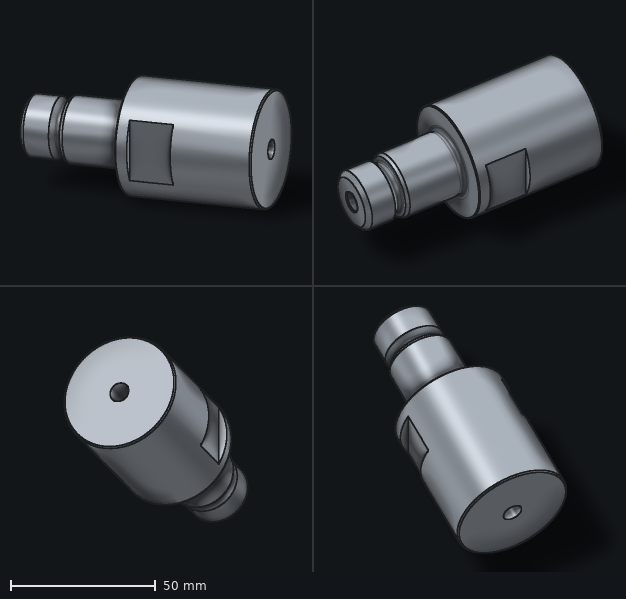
import cadquery as cq
import math

length = 89.0
neck_ramp_start = 11.0
collar_start = 15.0
relief_start = 36.6
shoulder = 39.0
flat_start = 43.4
flat_length = 16.0

tip_radius = 11.1
tip_end_radius = 9.3
neck_radius = 9.3
collar_radius = 12.0
relief_radius = 11.7
relief_outer_radius = 13.7
body_radius = 21.0
bore_radius = 3.5

tip_chamfer_length = 1.7
neck_fillet = 0.5
collar_chamfer_length = 1.3
collar_chamfer_angle = math.radians(30)
relief_ramp_angle = math.radians(15)
relief_fillet = 1.0
relief_face_depth = 0.3
front_chamfer = 0.4
rear_chamfer = 0.5
bore_chamfer = 0.45
flat_distance = 18.0

neck_ramp_end = neck_ramp_start + tip_radius - neck_radius
collar_lip_radius = collar_radius - collar_chamfer_length * math.tan(collar_chamfer_angle)
relief_ramp_end = relief_start + (collar_radius - relief_radius) / math.tan(relief_ramp_angle)
relief_bottom = shoulder + relief_face_depth


def revolve_about_x(points):
    """Revolve a closed outline of (x, radius) points about the X axis."""
    return cq.Workplane("XY").polyline(points).close().revolve(360, (0, 0, 0), (1, 0, 0))


def fillet_corner(body, x, radius, fillet_radius):
    """Round the circular edge of a turned body at the given position and radius."""
    tolerance = 0.01
    edges = [
        edge
        for edge in body.edges("%CIRCLE").vals()
        if abs(edge.Center().x - x) < tolerance and abs(edge.radius() - radius) < tolerance
    ]
    return body.newObject(edges).fillet(fillet_radius)


def turned_body():
    """Stepped shaft: spigot tip, neck groove, collar, corner undercut and large body."""
    body = revolve_about_x([
        (0, 0),
        (0, tip_end_radius),
        (tip_chamfer_length, tip_radius),
        (neck_ramp_start, tip_radius),
        (neck_ramp_end, neck_radius),
        (collar_start, neck_radius),
        (collar_start, collar_lip_radius),
        (collar_start + collar_chamfer_length, collar_radius),
        (relief_start, collar_radius),
        (relief_ramp_end, relief_radius),
        (relief_bottom, relief_radius),
        (shoulder, relief_outer_radius),
        (shoulder, body_radius - front_chamfer),
        (shoulder + front_chamfer, body_radius),
        (length - rear_chamfer, body_radius),
        (length, body_radius - rear_chamfer),
        (length, 0),
    ])
    for x in (neck_ramp_end, collar_start):
        body = fillet_corner(body, x, neck_radius, neck_fillet)
    for x in (relief_ramp_end, relief_bottom):
        body = fillet_corner(body, x, relief_radius, relief_fillet)
    return body


def bore():
    """Through bore with a chamfered mouth at the free end."""
    return revolve_about_x([
        (0, 0),
        (0, bore_radius + bore_chamfer),
        (bore_chamfer, bore_radius),
        (length, bore_radius),
        (length, 0),
    ])


def wrench_flat_cut(side):
    """Block that cuts one wrench flat; side is +1 or -1 along Y."""
    block_depth = 2 * (body_radius - flat_distance)
    block = cq.Workplane("XY").box(flat_length, block_depth, 2 * body_radius)
    block_center_y = side * (flat_distance + block_depth / 2)
    return block.translate((flat_start + flat_length / 2, block_center_y, 0))


result = turned_body().cut(bore())
for flat_side in (-1, 1):
    result = result.cut(wrench_flat_cut(flat_side))